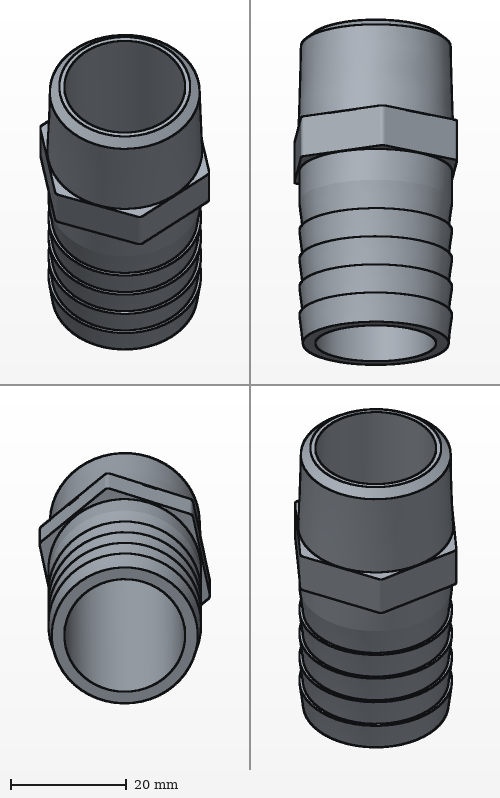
import cadquery as cq
import math

total_height = 55.0
bore_diameter = 20.85

barb_count = 5
barbed_length = 25.4
barb_pitch = barbed_length / barb_count
barb_crest_diameter = 26.4
barb_root_diameter = 25.2

hex_bottom = 31.05
hex_height = 7.2
hex_across_flats = 27.0
hex_corner_radius = 0.9
hex_top = hex_bottom + hex_height

spigot_base_diameter = 26.8
spigot_end_diameter = 25.9
lip_diameter = 22.6
lip_chamfer_height = 1.4


def make_hose_tail():
    """Solid of revolution: stacked cones widening upward, then a plain neck."""
    profile = cq.Workplane("XZ").moveTo(0, 0)
    for barb in range(barb_count):
        barb_bottom = barb * barb_pitch
        profile = profile.lineTo(barb_root_diameter / 2, barb_bottom)
        profile = profile.lineTo(barb_crest_diameter / 2, barb_bottom + barb_pitch)
    profile = profile.lineTo(barb_crest_diameter / 2, hex_bottom).lineTo(0, hex_bottom)
    return profile.close().revolve(360, (0, 0, 0), (0, 1, 0))


def make_hex_collar():
    """Hexagon with flats facing +X and -X, and rounded upright edges."""
    across_corners = hex_across_flats / math.cos(math.pi / 6)
    return (
        cq.Workplane("XY")
        .polygon(6, across_corners)
        .extrude(hex_height)
        .edges("|Z")
        .fillet(hex_corner_radius)
        .rotate((0, 0, 0), (0, 0, 1), 30)
        .translate((0, 0, hex_bottom))
    )


def make_spigot():
    """Slightly tapered solid with a chamfered upper lip."""
    return (
        cq.Workplane("XZ")
        .moveTo(0, hex_top)
        .lineTo(spigot_base_diameter / 2, hex_top)
        .lineTo(spigot_end_diameter / 2, total_height - lip_chamfer_height)
        .lineTo(lip_diameter / 2, total_height)
        .lineTo(0, total_height)
        .close()
        .revolve(360, (0, 0, 0), (0, 1, 0))
    )


bore = cq.Workplane("XY").circle(bore_diameter / 2).extrude(total_height)
result = make_hose_tail().union(make_hex_collar()).union(make_spigot()).cut(bore)